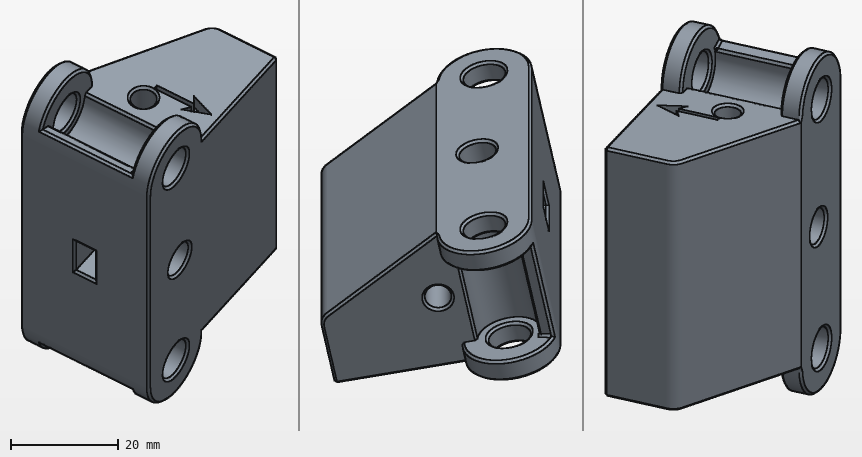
import cadquery as cq
import math

width = 29.0
depth = 43.0
height = 71.0

plate_depth = 18.0
pivot_radius = plate_depth / 2
pivot_y = pivot_radius
pivot_z = height / 2 - pivot_radius
pivot_hole_diameter = 8.0

slope_angle = 60.0
slope_fillet = 3.0
edge_chamfer = 0.5

ear_thickness = 4.4
trough_radius = 6.0
lip_angle = 20.0

cross_hole_diameter = 7.0
cross_hole_y = 10.3
nut_across_flats = 8.1
nut_slot_width = 4.4

vertical_hole_diameter = 5.0
vertical_hole_x = 14.0
vertical_hole_y = 20.45

arrow_y = 23.9
arrow_start_x = 14.35
arrow_neck_x = 22.7
arrow_barb_x = 21.5
arrow_tip_x = 26.9
arrow_shaft_width = 0.9
arrow_head_width = 4.1
arrow_depth = 3.0


def make_plate():
    """Stadium-shaped slab spanning the full width."""
    return (
        cq.Workplane("YZ")
        .center(pivot_y, 0)
        .slot2D(height, plate_depth, 90)
        .extrude(width)
    )


def make_block():
    """Block overlapping the plate, with a sloped -X side that starts at the back edge of the plate."""
    slope_run = (depth - plate_depth) / math.tan(math.radians(slope_angle))
    block_height = 2 * pivot_z
    block = (
        cq.Workplane("XY")
        .workplane(offset=-pivot_z)
        .moveTo(0, pivot_y)
        .lineTo(0, plate_depth)
        .lineTo(slope_run, depth)
        .lineTo(width, depth)
        .lineTo(width, pivot_y)
        .close()
        .extrude(block_height)
    )
    slope_corner = cq.selectors.NearestToPointSelector((slope_run, depth, 0))
    return block.edges(slope_corner).fillet(slope_fillet)


def make_knuckle_gap():
    """Upper gap between the ears: a round trough under an open sector bounded by the lip."""
    reach = height
    lip_y = -reach * math.cos(math.radians(lip_angle))
    lip_z = reach * math.sin(math.radians(lip_angle))
    gap_width = width - 2 * ear_thickness
    plane = cq.Workplane("YZ", origin=(ear_thickness, pivot_y, pivot_z))
    sector = (
        plane.lineTo(lip_y, lip_z)
        .lineTo(lip_y, reach)
        .lineTo(reach, reach)
        .lineTo(reach, 0)
        .close()
        .extrude(gap_width)
    )
    return plane.circle(trough_radius).extrude(gap_width).union(sector)


def make_body():
    """Plate and block joined, with every outer edge chamfered except the plate-to-block seams."""
    side_outlines = "(not (|X or |Z))"
    front_corners = "(<Y and |Z)"
    back_rims = "(>Y and |X)"
    back_corner = "(>Y and >X)"
    outer_edges = " or ".join([side_outlines, front_corners, back_rims, back_corner])
    return make_plate().union(make_block()).edges(outer_edges).chamfer(edge_chamfer)


def near_gap(end, x, radius, angle):
    """Selector for the edge centred at x and a polar position about the upper (1) or lower (-1) pivot."""
    y = pivot_y + radius * math.cos(math.radians(angle))
    z = pivot_z + radius * math.sin(math.radians(angle))
    return cq.selectors.NearestToPointSelector((x, y, end * z))


def chamfer_knuckle_gap(part, end):
    """Chamfer the ear rims, both lip edges and the back trough edge of one gap."""
    middle_x = width / 2
    lip_direction = 180 - lip_angle
    ear_arc_middle = lip_direction / 2
    ear_rims = near_gap(end, ear_thickness, pivot_radius, ear_arc_middle)
    ear_rims += near_gap(end, width - ear_thickness, pivot_radius, ear_arc_middle)
    lip_rims = near_gap(end, middle_x, pivot_radius, lip_direction)
    lip_rims += near_gap(end, middle_x, trough_radius, lip_direction)
    back_rim = near_gap(end, middle_x, trough_radius, 0)
    return part.edges(ear_rims + lip_rims + back_rim).chamfer(edge_chamfer)


def make_lip_wedge():
    """Triangular bead in the corner between the upper lip and the +X ear."""
    outward_y = -math.cos(math.radians(lip_angle))
    outward_z = math.sin(math.radians(lip_angle))
    wedge_length = pivot_radius - edge_chamfer - trough_radius
    start = (
        width - ear_thickness,
        pivot_y + trough_radius * outward_y,
        pivot_z + trough_radius * outward_z,
    )
    return (
        cq.Workplane(cq.Plane(origin=start, xDir=(1, 0, 0), normal=(0, outward_y, outward_z)))
        .lineTo(-edge_chamfer, 0)
        .lineTo(0, edge_chamfer)
        .close()
        .extrude(wedge_length)
    )


def make_drill(start, direction, diameter, length):
    """Cutter for a hole from start, flared by a chamfer at both mouths."""
    radius = diameter / 2
    mouth_radius = radius + edge_chamfer
    axis = cq.Vector(*direction)
    entry = cq.Vector(*start)
    leave = entry + axis * length
    drill = cq.Solid.makeCylinder(radius, length, entry, axis)
    entry_flare = cq.Solid.makeCone(mouth_radius, radius, edge_chamfer, entry, axis)
    exit_flare = cq.Solid.makeCone(mouth_radius, radius, edge_chamfer, leave, axis * -1)
    return cq.Workplane(drill.fuse(entry_flare, exit_flare))


def make_nut_slot():
    """Slot from the front face for a nut on edge, ending in two faces of the hexagon."""
    half_flats = nut_across_flats / 2
    flat_end_y = cross_hole_y + half_flats * math.tan(math.radians(30))
    point_y = cross_hole_y + half_flats / math.cos(math.radians(30))
    slot = (
        cq.Workplane("YZ", origin=((width - nut_slot_width) / 2, 0, 0))
        .moveTo(0, -half_flats)
        .lineTo(flat_end_y, -half_flats)
        .lineTo(point_y, 0)
        .lineTo(flat_end_y, half_flats)
        .lineTo(0, half_flats)
        .close()
        .extrude(nut_slot_width)
    )
    mouth_growth = 2 * edge_chamfer
    mouth = (
        cq.Workplane("XZ", origin=(width / 2, 0, 0))
        .rect(nut_slot_width + mouth_growth, nut_across_flats + mouth_growth)
        .extrude(-edge_chamfer, taper=45)
    )
    return slot.union(mouth)


def make_arrow():
    """Arrow pointing along +X, sunk into the top of the block."""
    half_shaft = arrow_shaft_width / 2
    half_head = arrow_head_width / 2
    return (
        cq.Workplane("XY", origin=(0, arrow_y, pivot_z))
        .moveTo(arrow_start_x, half_shaft)
        .lineTo(arrow_neck_x, half_shaft)
        .lineTo(arrow_barb_x, half_head)
        .lineTo(arrow_tip_x, 0)
        .lineTo(arrow_barb_x, -half_head)
        .lineTo(arrow_neck_x, -half_shaft)
        .lineTo(arrow_start_x, -half_shaft)
        .close()
        .extrude(-arrow_depth)
    )


body = make_body()

gap = make_knuckle_gap()
body = body.cut(gap).cut(gap.mirror("XY"))
for end in (1, -1):
    body = chamfer_knuckle_gap(body, end)
wedge = make_lip_wedge()
body = body.union(wedge).union(wedge.mirror("XY"))

for z in (-pivot_z, pivot_z):
    for ear_x in (0, width - ear_thickness):
        body = body.cut(make_drill((ear_x, pivot_y, z), (1, 0, 0), pivot_hole_diameter, ear_thickness))

body = body.cut(make_drill((0, cross_hole_y, 0), (1, 0, 0), cross_hole_diameter, width))
vertical_start = (vertical_hole_x, vertical_hole_y, -pivot_z)
body = body.cut(make_drill(vertical_start, (0, 0, 1), vertical_hole_diameter, 2 * pivot_z))

body = body.cut(make_nut_slot())
result = body.cut(make_arrow())